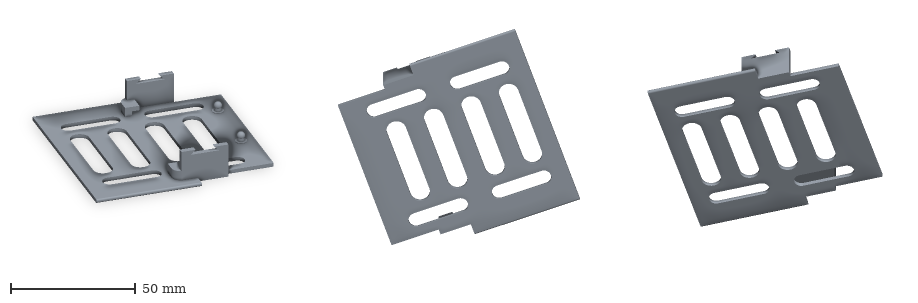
import cadquery as cq

plate_size = 78.0
plate_thickness = 1.6
rear_width = 63.95
step_y = 5.9
side_edge_radius = 0.7
front_y = -plate_size / 2
rear_y = plate_size / 2

cross_slot_length = 36.0
cross_slot_width = 8.0
cross_slot_pitch = 16.0
cross_slot_count = 4
cross_slot_first_y = -27.5
side_slot_length = 25.0
side_slot_width = 6.0
side_slot_x = 25.0
side_slot_ys = (-19.0, 16.5)

wall_thickness = 2.3
wall_height = 14.5
wall_length = 20.0
wall_front_y = -1.1
wall_outer_x = rear_width / 2 + wall_thickness
wall_center_y = wall_front_y + wall_length / 2
notch_floor_width = 12.0
notch_depth = 1.95
notch_mouth_width = notch_floor_width - 2 * notch_depth

block_inner_x = 25.9
block_front_y = -4.05
block_length = 6.1
block_top = 5.8
block_corner_radius = 4.0
undercut_length = 3.05
lip_thickness = 2.0
undercut_top = block_top - lip_thickness

pin_pitch = 28.0
pin_center_x = -4.6
pin_y = 33.0
pin_diameter = 3.0
pin_top = 5.85
ball_diameter = 3.35
disc_diameter = 5.0
disc_height = 0.3


def box_between(x_range, y_range, z_range):
    """Box spanning the given (low, high) ranges."""
    sizes = [high - low for low, high in (x_range, y_range, z_range)]
    corner = (x_range[0], y_range[0], z_range[0])
    return cq.Workplane("XY").box(*sizes, centered=False).translate(corner)


def make_plate():
    front = box_between(
        (-plate_size / 2, plate_size / 2), (front_y, step_y), (0, plate_thickness)
    )
    front = front.edges("|Y").fillet(side_edge_radius)
    rear = box_between(
        (-rear_width / 2, rear_width / 2), (front_y, rear_y), (0, plate_thickness)
    )
    return front.union(rear)


def make_slots():
    cross_centers = [
        (0, cross_slot_first_y + i * cross_slot_pitch) for i in range(cross_slot_count)
    ]
    side_centers = [(sign * side_slot_x, y) for sign in (-1, 1) for y in side_slot_ys]
    cross_slots = (
        cq.Workplane("XY")
        .pushPoints(cross_centers)
        .slot2D(cross_slot_length, cross_slot_width)
        .extrude(plate_thickness)
    )
    side_slots = (
        cq.Workplane("XY")
        .pushPoints(side_centers)
        .slot2D(side_slot_length, side_slot_width, angle=90)
        .extrude(plate_thickness)
    )
    return cross_slots.union(side_slots)


def make_right_wall():
    wall = box_between(
        (rear_width / 2, wall_outer_x),
        (wall_front_y, wall_front_y + wall_length),
        (0, wall_height),
    )
    notch_floor_z = wall_height - notch_depth
    notch = (
        cq.Workplane("YZ", origin=(rear_width / 2, wall_center_y, 0))
        .moveTo(-notch_floor_width / 2, notch_floor_z)
        .lineTo(notch_floor_width / 2, notch_floor_z)
        .lineTo(notch_mouth_width / 2, wall_height)
        .lineTo(-notch_mouth_width / 2, wall_height)
        .close()
        .extrude(wall_thickness)
    )
    return wall.cut(notch)


def make_right_block():
    block_rear_y = block_front_y + block_length
    block = box_between(
        (block_inner_x, wall_outer_x), (block_front_y, block_rear_y), (0, block_top)
    )
    block = block.edges("|Z and >X and <Y").fillet(block_corner_radius)
    undercut = box_between(
        (block_inner_x, rear_width / 2),
        (block_rear_y - undercut_length, block_rear_y),
        (plate_thickness, undercut_top),
    )
    return block.cut(undercut)


def make_pin(x):
    ball_z = pin_top - ball_diameter / 2
    base = cq.Workplane("XY", origin=(x, pin_y, 0))
    disc = base.circle(disc_diameter / 2).extrude(plate_thickness + disc_height)
    shank = base.circle(pin_diameter / 2).extrude(ball_z)
    ball = cq.Workplane("XY").sphere(ball_diameter / 2).translate((x, pin_y, ball_z))
    return disc.union(shank).union(ball)


result = make_plate().cut(make_slots())

right_side = make_right_wall().union(make_right_block())
result = result.union(right_side).union(right_side.mirror("YZ"))

for side in (-1, 1):
    result = result.union(make_pin(pin_center_x + side * pin_pitch / 2))